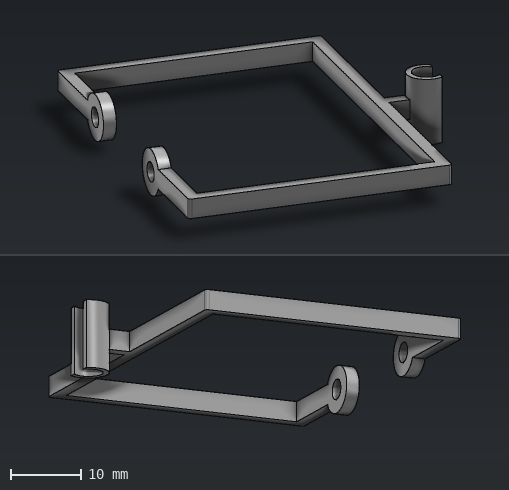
import cadquery as cq

frame_width = 54.5
frame_depth = 40.0
bar_thickness = 2.0
bar_height = 3.0
corner_radius = 0.5

eyelet_diameter = 7.0
eyelet_hole_diameter = 2.95
eyelet_spacing = 23.0
eyelet_centers = [(side * eyelet_spacing / 2, 0) for side in (-1, 1)]

clip_outer_radius = 3.0
clip_inner_radius = 2.1
clip_height = 10.0
clip_open_face_y = 47.5
clip_center_y = 46.0
stem_width = 2.0


def centered_block(width, y_start, y_end, height):
    """Block centred on X and Z that spans y_start to y_end."""
    depth = y_end - y_start
    return cq.Workplane("XY").box(width, depth, height).translate((0, y_start + depth / 2, 0))


def clip_cylinder(radius):
    """Upright cylinder on the clip axis, centred on Z."""
    return cq.Workplane("XY").center(0, clip_center_y).circle(radius).extrude(clip_height / 2, both=True)


def eyelet_cylinders(diameter):
    """Both eyelet cylinders, as deep in Y as the bar is thick."""
    front_plane = cq.Workplane("XZ").pushPoints(eyelet_centers)
    return front_plane.circle(diameter / 2).extrude(-bar_thickness)


def make_frame():
    loop = centered_block(frame_width, 0, frame_depth, bar_height)
    loop = loop.edges("|Z").fillet(corner_radius)
    inner_width = frame_width - 2 * bar_thickness
    opening = centered_block(inner_width, bar_thickness, frame_depth - bar_thickness, bar_height)
    front_gap = centered_block(eyelet_spacing, 0, bar_thickness, bar_height)
    stem = centered_block(stem_width, frame_depth - bar_thickness, clip_center_y, bar_height)
    stem = stem.cut(clip_cylinder(clip_outer_radius))
    frame = loop.cut(opening).cut(front_gap).union(stem)
    return frame.union(eyelet_cylinders(eyelet_diameter)).cut(eyelet_cylinders(eyelet_hole_diameter))


def make_clip():
    tube = clip_cylinder(clip_outer_radius).cut(clip_cylinder(clip_inner_radius))
    kept_side = centered_block(
        2 * clip_outer_radius, clip_center_y - clip_outer_radius, clip_open_face_y, clip_height
    )
    return tube.intersect(kept_side)


frame = make_frame()
clip = make_clip()

result = cq.Compound.makeCompound([frame.val(), clip.val()])